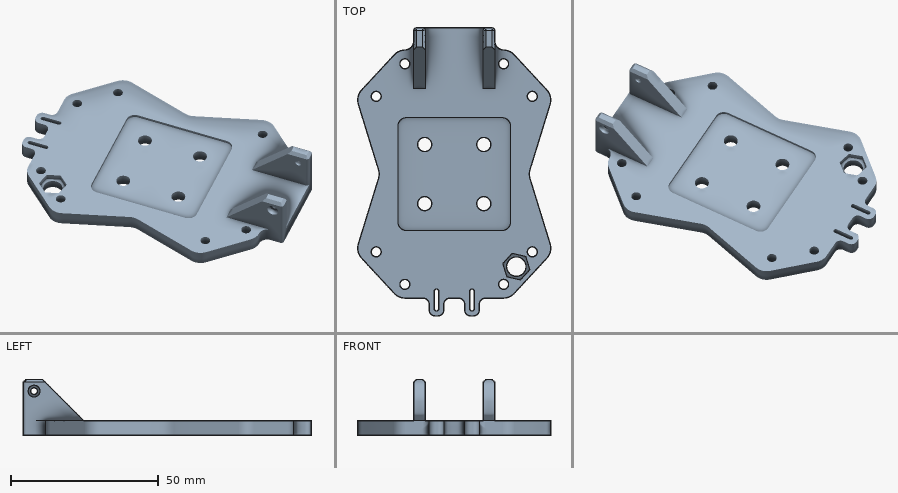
import cadquery as cq
import math

PLATE_THICKNESS = 5.0
PLATE_HALF_LENGTH = 42.0
PLATE_HALF_WIDTH = 32.685
WAIST_HALF_WIDTH = 25.2
WAIST_RADIUS = 5.0
CORNER_RADIUS = 5.0
LOBE_CENTER = (PLATE_HALF_WIDTH - CORNER_RADIUS, 25.05)
END_CORNER_CENTER = (16.6, PLATE_HALF_LENGTH - CORNER_RADIUS)
SLOPE_NORMAL = math.atan2(
    LOBE_CENTER[0] - END_CORNER_CENTER[0],
    END_CORNER_CENTER[1] - LOBE_CENTER[1],
)

SCREW_DIAMETER = 3.3
SCREW_POINTS = [(16.7, 37.3), (26.4, 26.3)]

RECESS_SIZE = 38.2
RECESS_DEPTH = 1.0
RECESS_CORNER_RADIUS = 3.0
CENTER_HOLE_DIAMETER = 4.7
CENTER_HOLE_SPACING = 20.0

TAB_X = 6.0
TAB_WIDTH = 5.0
TAB_END_Y = -48.0
TAB_RADIUS = 2.0
SLOT_WIDTH = 1.5
SLOT_LENGTH = 7.4
SLOT_Y = -42.6

BLOCK_END_Y = 49.5
BLOCK_HALF_WIDTH = 13.75
BLOCK_BLEND_RADIUS = 3.0
BACK_CORNER_RADIUS = 1.0
BRACKET_WIDTH = 4.0
BRACKET_TOP_Z = 19.0
BRACKET_TOP_FRONT_Y = 43.0
BRACKET_TOP_CHAMFER = 1.0
PIN_Y = 45.8
PIN_Z = 15.0
PIN_DIAMETER = 2.2
PIN_HEAD_DIAMETER = 4.0
PIN_HEAD_DEPTH = 2.0

NUT_X = 21.0
NUT_Y = -31.3
NUT_ACROSS_CORNERS = 9.4
NUT_DEPTH = 2.0
NUT_HOLE_DIAMETER = 6.5


def four_way(points):
    """Repeat first-quadrant points in all four quadrants."""
    return [(sx * x, sy * y) for x, y in points for sx in (1, -1) for sy in (1, -1)]


def on_circle(center, radius, angle):
    return (center[0] + radius * math.cos(angle), center[1] + radius * math.sin(angle))


def make_quadrant():
    """Plate quadrant: waist, rounded side lobe, sloping edge and rounded end corner."""
    to_waist_x = WAIST_HALF_WIDTH - LOBE_CENTER[0]
    to_waist_y = -LOBE_CENTER[1]
    waist_distance = math.hypot(to_waist_x, to_waist_y)
    waist_normal = math.atan2(to_waist_y, to_waist_x) + math.acos(CORNER_RADIUS / waist_distance)
    lobe_middle = (waist_normal + SLOPE_NORMAL) / 2
    end_normal = math.pi / 2
    end_middle = (SLOPE_NORMAL + end_normal) / 2
    return (
        cq.Workplane("XY")
        .lineTo(WAIST_HALF_WIDTH, 0)
        .lineTo(*on_circle(LOBE_CENTER, CORNER_RADIUS, waist_normal))
        .threePointArc(
            on_circle(LOBE_CENTER, CORNER_RADIUS, lobe_middle),
            on_circle(LOBE_CENTER, CORNER_RADIUS, SLOPE_NORMAL),
        )
        .lineTo(*on_circle(END_CORNER_CENTER, CORNER_RADIUS, SLOPE_NORMAL))
        .threePointArc(
            on_circle(END_CORNER_CENTER, CORNER_RADIUS, end_middle),
            on_circle(END_CORNER_CENTER, CORNER_RADIUS, end_normal),
        )
        .lineTo(0, PLATE_HALF_LENGTH)
        .close()
        .extrude(PLATE_THICKNESS)
    )


def make_plate():
    quadrant = make_quadrant()
    half = quadrant.union(quadrant.mirror("XZ"))
    plate = half.union(half.mirror("YZ")).clean()
    waist_zone = cq.selectors.BoxSelector(
        (-PLATE_HALF_WIDTH, -WAIST_RADIUS, 0),
        (PLATE_HALF_WIDTH, WAIST_RADIUS, PLATE_THICKNESS),
    )
    return plate.edges("|Z").edges(waist_zone).fillet(WAIST_RADIUS)


def root_fillet(x, y, side_x, side_y, radius):
    """Concave fillet filling the inside corner at (x, y), spreading toward (side_x, side_y)."""
    reach = radius * (1 - math.sqrt(0.5))
    return (
        cq.Workplane("XY")
        .moveTo(x, y)
        .lineTo(x + side_x * radius, y)
        .threePointArc((x + side_x * reach, y + side_y * reach), (x, y + side_y * radius))
        .close()
        .extrude(PLATE_THICKNESS)
    )


def make_tab(x):
    root_y = -PLATE_HALF_LENGTH
    length = root_y - TAB_END_Y
    tab = (
        cq.Workplane("XY")
        .center(x, root_y)
        .rect(TAB_WIDTH, 2 * length)
        .extrude(PLATE_THICKNESS)
        .edges("|Z and <Y")
        .fillet(TAB_RADIUS)
    )
    for side in (1, -1):
        tab = tab.union(root_fillet(x + side * TAB_WIDTH / 2, root_y, side, -1, TAB_RADIUS))
    return tab


def make_block():
    block = (
        cq.Workplane("XY")
        .center(0, PLATE_HALF_LENGTH)
        .rect(2 * BLOCK_HALF_WIDTH, 2 * (BLOCK_END_Y - PLATE_HALF_LENGTH))
        .extrude(PLATE_THICKNESS)
        .edges("|Z and >Y")
        .fillet(BACK_CORNER_RADIUS)
    )
    for side in (1, -1):
        blend = root_fillet(side * BLOCK_HALF_WIDTH, PLATE_HALF_LENGTH, side, 1, BLOCK_BLEND_RADIUS)
        block = block.union(blend)
    return block


def make_left_bracket():
    """Upright with a 45 degree front slope, chamfered top and a counterbored pin hole."""
    foot_y = BRACKET_TOP_FRONT_Y - (BRACKET_TOP_Z - PLATE_THICKNESS)
    bracket = (
        cq.Workplane("YZ", origin=(-BLOCK_HALF_WIDTH, 0, 0))
        .polyline([
            (foot_y, 0),
            (foot_y, PLATE_THICKNESS),
            (BRACKET_TOP_FRONT_Y, BRACKET_TOP_Z),
            (BLOCK_END_Y, BRACKET_TOP_Z),
            (BLOCK_END_Y, 0),
        ])
        .close()
        .extrude(BRACKET_WIDTH)
        .edges("|Z and >Y")
        .fillet(BACK_CORNER_RADIUS)
    )
    bracket = bracket.faces(">Z").edges("not <Y").chamfer(BRACKET_TOP_CHAMFER)
    outer_face = cq.Workplane("YZ", origin=(-BLOCK_HALF_WIDTH, 0, 0)).center(PIN_Y, PIN_Z)
    bracket = bracket.cut(outer_face.circle(PIN_DIAMETER / 2).extrude(BRACKET_WIDTH))
    return bracket.cut(outer_face.circle(PIN_HEAD_DIAMETER / 2).extrude(PIN_HEAD_DEPTH))


def through_holes(points, diameter):
    return cq.Workplane("XY").pushPoints(points).circle(diameter / 2).extrude(PLATE_THICKNESS)


def make_recess():
    return (
        cq.Workplane("XY", origin=(0, 0, PLATE_THICKNESS - RECESS_DEPTH))
        .rect(RECESS_SIZE, RECESS_SIZE)
        .extrude(RECESS_DEPTH)
        .edges("|Z")
        .fillet(RECESS_CORNER_RADIUS)
    )


def make_tab_slots():
    return (
        cq.Workplane("XY")
        .pushPoints([(-TAB_X, SLOT_Y), (TAB_X, SLOT_Y)])
        .slot2D(SLOT_LENGTH, SLOT_WIDTH, 90)
        .extrude(PLATE_THICKNESS)
    )


def make_nut_seat():
    """Hexagonal seat with one flat parallel to the nearest sloping edge."""
    half_facet_angle = 30
    corner_angle = half_facet_angle - math.degrees(SLOPE_NORMAL)
    return (
        cq.Workplane("XY", origin=(NUT_X, NUT_Y, PLATE_THICKNESS - NUT_DEPTH))
        .transformed(rotate=(0, 0, corner_angle))
        .polygon(6, NUT_ACROSS_CORNERS)
        .extrude(NUT_DEPTH)
    )


left_bracket = make_left_bracket()
result = make_plate().union(make_block()).union(left_bracket).union(left_bracket.mirror("YZ"))
for tab_x in (-TAB_X, TAB_X):
    result = result.union(make_tab(tab_x))

center_hole_offset = CENTER_HOLE_SPACING / 2
center_hole_points = [(center_hole_offset, center_hole_offset)]
cutters = [
    make_recess(),
    make_tab_slots(),
    make_nut_seat(),
    through_holes(four_way(SCREW_POINTS), SCREW_DIAMETER),
    through_holes(four_way(center_hole_points), CENTER_HOLE_DIAMETER),
    through_holes([(NUT_X, NUT_Y)], NUT_HOLE_DIAMETER),
]
for cutter in cutters:
    result = result.cut(cutter)